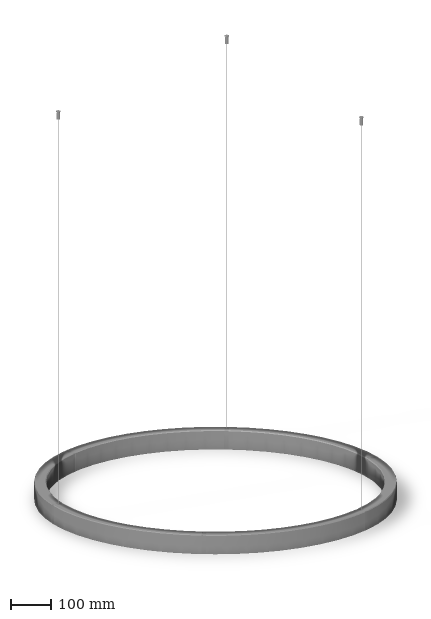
import cadquery as cq
import math

RING_OUTER_DIAMETER = 900.0
RING_INNER_DIAMETER = 840.0
RING_HEIGHT = 50.0
TOTAL_HEIGHT = 1073.0

TOP_OUTER_DIAMETER = 898.0
TOP_INNER_DIAMETER = 844.0
BEVEL_HEIGHT = 2.0

GROOVE_COUNT = 6
GROOVE_WIDTH = 11.0
GROOVE_DEPTH = 0.5

DIFFUSER_OUTER_DIAMETER = TOP_OUTER_DIAMETER
DIFFUSER_INNER_DIAMETER = TOP_INNER_DIAMETER
DIFFUSER_THICKNESS = 2.0

SUSPENSION_COUNT = 3
SUSPENSION_RADIUS = (RING_OUTER_DIAMETER + RING_INNER_DIAMETER) / 4
CABLE_DIAMETER = 1.2
FLANGE_DIAMETER = 11.0
FLANGE_THICKNESS = 2.0
NECK_DIAMETER = 8.0
NECK_LENGTH = 3.0
BARREL_DIAMETER = 9.0
BARREL_LENGTH = 16.0

FLANGE_BOTTOM = TOTAL_HEIGHT - FLANGE_THICKNESS
NECK_BOTTOM = FLANGE_BOTTOM - NECK_LENGTH
BARREL_BOTTOM = NECK_BOTTOM - BARREL_LENGTH


def cylinder(diameter, bottom, top):
    """Upright cylinder on the Z axis between two heights."""
    return cq.Workplane("XY").workplane(offset=bottom).circle(diameter / 2).extrude(top - bottom)


def annulus(outer_diameter, inner_diameter, height):
    """Flat-bottomed ring standing on Z = 0."""
    return cq.Workplane("XY").circle(outer_diameter / 2).circle(inner_diameter / 2).extrude(height)


def make_diffuser():
    return annulus(DIFFUSER_OUTER_DIAMETER, DIFFUSER_INNER_DIAMETER, DIFFUSER_THICKNESS)


def make_grooves():
    """Bars across the ring, reduced to the thin skin that lies outside the groove floors."""
    bars = cq.Workplane("XY")
    bar = cq.Workplane("XY").box(
        RING_OUTER_DIAMETER + GROOVE_WIDTH, GROOVE_WIDTH, RING_HEIGHT, centered=(True, True, False)
    )
    for i in range(GROOVE_COUNT // 2):
        bars = bars.add(bar.rotate((0, 0, 0), (0, 0, 1), i * 360 / GROOVE_COUNT))
    core = annulus(
        RING_OUTER_DIAMETER - 2 * GROOVE_DEPTH,
        RING_INNER_DIAMETER + 2 * GROOVE_DEPTH,
        RING_HEIGHT - GROOVE_DEPTH,
    )
    return bars.combine().cut(core)


def make_ring():
    """Revolved rectangular section with beveled top edges, less the grooves."""
    bevel_bottom = RING_HEIGHT - BEVEL_HEIGHT
    section = (
        cq.Workplane("XZ")
        .moveTo(RING_INNER_DIAMETER / 2, DIFFUSER_THICKNESS)
        .lineTo(RING_OUTER_DIAMETER / 2, DIFFUSER_THICKNESS)
        .lineTo(RING_OUTER_DIAMETER / 2, bevel_bottom)
        .lineTo(TOP_OUTER_DIAMETER / 2, RING_HEIGHT)
        .lineTo(TOP_INNER_DIAMETER / 2, RING_HEIGHT)
        .lineTo(RING_INNER_DIAMETER / 2, bevel_bottom)
        .close()
    )
    return section.revolve(360, (0, 0, 0), (0, 1, 0)).cut(make_grooves())


def at_suspension(body, index):
    """Move a body from the Z axis to one of the suspension points."""
    angle = math.radians(index * 360 / SUSPENSION_COUNT)
    return body.translate((SUSPENSION_RADIUS * math.cos(angle), SUSPENSION_RADIUS * math.sin(angle), 0))


def make_cable(index):
    """Cable from the groove floor on top of the ring to the gripper."""
    return at_suspension(cylinder(CABLE_DIAMETER, RING_HEIGHT - GROOVE_DEPTH, BARREL_BOTTOM), index)


def make_gripper(index):
    flange = cylinder(FLANGE_DIAMETER, FLANGE_BOTTOM, TOTAL_HEIGHT)
    neck = cylinder(NECK_DIAMETER, NECK_BOTTOM, FLANGE_BOTTOM)
    barrel = cylinder(BARREL_DIAMETER, BARREL_BOTTOM, NECK_BOTTOM)
    return at_suspension(flange.union(neck).union(barrel), index)


ring = make_ring()
diffuser = make_diffuser()
cables = [make_cable(i) for i in range(SUSPENSION_COUNT)]
grippers = [make_gripper(i) for i in range(SUSPENSION_COUNT)]

result = cq.Compound.makeCompound(
    [ring.val(), diffuser.val()]
    + [cable.val() for cable in cables]
    + [gripper.val() for gripper in grippers]
)